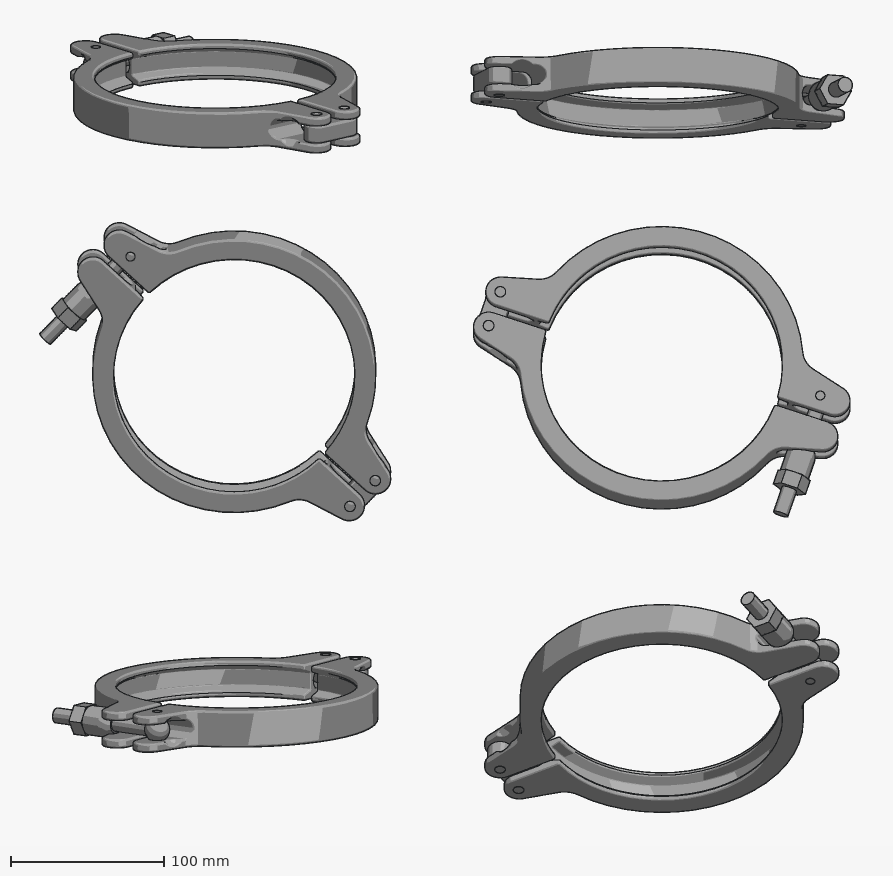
import cadquery as cq
import math

half_height = 12.0
ring_outer_radius = 92.5
ring_inner_radius = 78.8
jaw_gap = 5.0
edge_round = 1.5

groove_floor_radius = 85.5
groove_half_mouth = 8.0
groove_flank_angle = 20.0
groove_corner_round = 1.0
groove_overrun = 2.5

ear_radius = 10.0
overall_length = 250.0
ear_slope_angle = 15.0
neck_radius = 15.0

slot_half_height = 6.2
slot_end_x = 89.5

seat_y = 28.2
seat_radius = 10.0
seat_round = 1.0

hinge_x = 115.2
hinge_y = 12.0
hinge_pin_radius = 3.5
link_radius = 8.2
link_clearance = 0.5
link_round = 1.5

head_wall = 0.2
head_dome = 0.38

bolt_x = -105.0
bolt_pin_radius = 3.0
ball_radius = 8.2
rod_radius = 5.0
rod_tip_y = 68.5
nut_across_corners = 22.2
nut_outer_y = 50.8
nut_inner_y = 41.0
collar_radius = 9.8
collar_tip_y = 20.8

half_gap = jaw_gap / 2
ear_x = overall_length / 2 - ear_radius
ear_y = half_gap + ear_radius
link_half_height = slot_half_height - link_clearance
tolerance = 0.002


def jaw_outline():
    """Half ring with an ear at each end, on the +Y side."""
    slope = math.radians(ear_slope_angle)
    normal_x = math.sin(slope)
    normal_y = math.cos(slope)
    slope_start = (ear_x + ear_radius * normal_x, ear_y + ear_radius * normal_y)
    ear_tip = (ear_x + ear_radius, ear_y)

    neck_reach = ring_outer_radius + neck_radius
    neck_offset = ear_x * normal_x + ear_y * normal_y + ear_radius + neck_radius
    normal_angle = math.pi / 2 - slope
    neck_angle = normal_angle - math.acos(neck_offset / neck_reach)
    middle_angle = (normal_angle + neck_angle) / 2

    def neck_point(angle):
        return (
            neck_reach * math.cos(neck_angle) - neck_radius * math.cos(angle),
            neck_reach * math.sin(neck_angle) - neck_radius * math.sin(angle),
        )

    slope_end = neck_point(normal_angle)
    neck_middle = neck_point(middle_angle)
    ring_start = neck_point(neck_angle)
    inner_x = math.sqrt(ring_inner_radius**2 - half_gap**2)

    def mirrored(point):
        return (-point[0], point[1])

    return (
        cq.Workplane("XY", origin=(0, 0, -half_height))
        .moveTo(inner_x, half_gap)
        .lineTo(ear_x, half_gap)
        .threePointArc(ear_tip, slope_start)
        .lineTo(*slope_end)
        .threePointArc(neck_middle, ring_start)
        .threePointArc((0, ring_outer_radius), mirrored(ring_start))
        .threePointArc(mirrored(neck_middle), mirrored(slope_end))
        .lineTo(*mirrored(slope_start))
        .threePointArc(mirrored(ear_tip), (-ear_x, half_gap))
        .lineTo(-inner_x, half_gap)
        .threePointArc((0, ring_inner_radius), (inner_x, half_gap))
        .close()
    )


def sealing_groove():
    """Ring-shaped cutter with sloped flanks and rounded floor corners."""
    flank = math.tan(math.radians(groove_flank_angle))
    start_radius = ring_inner_radius - groove_overrun
    half_start = groove_half_mouth + flank * groove_overrun
    half_floor = groove_half_mouth - flank * (groove_floor_radius - ring_inner_radius)
    profile = [
        (start_radius, -half_start),
        (groove_floor_radius, -half_floor),
        (groove_floor_radius, half_floor),
        (start_radius, half_start),
    ]
    cutter = cq.Workplane("XZ").polyline(profile).close().revolve(360, (0, 0, 0), (0, 1, 0))
    return cutter.edges(cq.selectors.RadiusNthSelector(-1)).fillet(groove_corner_round)


def fork_slot(side):
    """Slot cutter with a round end, through the ear on the given side (-1 or 1)."""
    round_x = slot_end_x + slot_half_height
    return (
        cq.Workplane("XZ")
        .moveTo(side * overall_length, -slot_half_height)
        .lineTo(side * round_x, -slot_half_height)
        .threePointArc((side * slot_end_x, 0), (side * round_x, slot_half_height))
        .lineTo(side * overall_length, slot_half_height)
        .close()
        .extrude(-ring_outer_radius)
    )


def round_edges(body, radius, chosen):
    edges = [edge for edge in body.edges().vals() if chosen(edge)]
    return body.newObject(edges).fillet(radius)


def is_jaw_edge(edge):
    """Everything but the groove floor corners and the upright seams of the outer wall."""
    ends = [edge.startPoint(), edge.endPoint()]
    middle = edge.Center()
    on_end_face = abs(middle.y - half_gap) < tolerance
    if on_end_face:
        return abs(abs(middle.x) - ear_x) > tolerance
    on_top_or_bottom = all(abs(abs(end.z) - half_height) < tolerance for end in ends)
    on_lip = all(abs(math.hypot(end.x, end.y) - ring_inner_radius) < tolerance for end in ends)
    return on_top_or_bottom or on_lip


def is_slot_mouth(edge):
    """Edges around the slot openings, not the lines along Y inside the slot."""
    start = edge.startPoint()
    end = edge.endPoint()
    for point in (start, end):
        if abs(point.z) > slot_half_height + tolerance or abs(point.x) < slot_end_x - tolerance:
            return False
    return math.hypot(end.x - start.x, end.z - start.z) > tolerance


def is_seat_rim(edge):
    for point in (edge.startPoint(), edge.endPoint()):
        reach = math.hypot(abs(point.x) - abs(bolt_x), point.y - seat_y, point.z)
        if abs(reach - seat_radius) > tolerance:
            return False
    return True


def pin(radius, x, y):
    """Upright pin through a fork, with a low domed head standing out at both ends."""
    wall_z = half_height + head_wall
    tip_z = wall_z + head_dome
    dome_radius = (radius**2 + head_dome**2) / (2 * head_dome)
    return (
        cq.Workplane("XZ")
        .moveTo(0, -tip_z)
        .radiusArc((radius, -wall_z), -dome_radius)
        .lineTo(radius, wall_z)
        .radiusArc((0, tip_z), -dome_radius)
        .close()
        .revolve(360, (0, 0, 0), (0, 1, 0))
        .translate((x, y, 0))
    )


def make_jaw():
    """Bare jaw on the +Y side: groove, two forks, two nut seats and one hinge pin hole."""
    jaw = jaw_outline().extrude(2 * half_height).cut(sealing_groove())
    jaw = round_edges(jaw, edge_round, is_jaw_edge)
    for side in (-1, 1):
        jaw = jaw.cut(fork_slot(side))
    jaw = round_edges(jaw, edge_round, is_slot_mouth)
    for side in (-1, 1):
        jaw = jaw.cut(cq.Workplane("XY", origin=(side * bolt_x, seat_y, 0)).sphere(seat_radius))
    jaw = round_edges(jaw, seat_round, is_seat_rim)
    return jaw.cut(pin(hinge_pin_radius, hinge_x, hinge_y))


def swing_bolt():
    """Ball, rod and nut along Y; the ball is held in the fork by its pin."""
    def section(y):
        return cq.Workplane("XZ", origin=(bolt_x, y, 0))

    def ball_at(y, radius):
        return cq.Workplane("XY", origin=(bolt_x, y, 0)).sphere(radius)

    rod = section(-ear_y).circle(rod_radius).extrude(-(rod_tip_y + ear_y))
    nut = section(nut_inner_y).polygon(6, nut_across_corners).extrude(-(nut_outer_y - nut_inner_y))
    collar = section(seat_y).circle(collar_radius).extrude(-(nut_inner_y - seat_y))
    tip_zone = section(collar_tip_y).circle(collar_radius).extrude(-(seat_y - collar_tip_y))
    collar_tip = ball_at(seat_y, collar_radius).intersect(tip_zone)
    ball = ball_at(-ear_y, ball_radius)
    ball_pin = pin(bolt_pin_radius, bolt_x, -ear_y)
    return rod.union(nut).union(collar).union(collar_tip).union(ball).union(ball_pin)


def make_link():
    """Round-ended block between the right-hand forks, in one piece with its two pins."""
    body = (
        cq.Workplane("XY", origin=(hinge_x, 0, -link_half_height))
        .slot2D(2 * (hinge_y + link_radius), 2 * link_radius, 90)
        .extrude(2 * link_half_height)
        .faces("<Z or >Z")
        .edges()
        .fillet(link_round)
    )
    for side in (-1, 1):
        body = body.union(pin(hinge_pin_radius, hinge_x, side * hinge_y))
    return body


upper_jaw = make_jaw()
lower_jaw = upper_jaw.mirror("XZ").union(swing_bolt())
link = make_link()

bodies = [upper_jaw, lower_jaw, link]
result = cq.Compound.makeCompound([body.solids().val() for body in bodies])